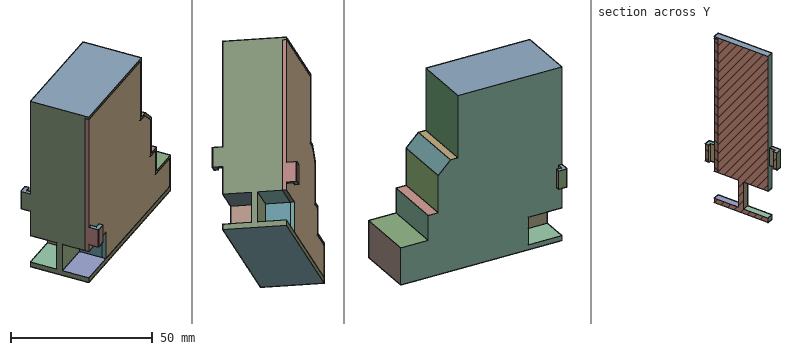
import cadquery as cq

overall_width = 30.6
body_width = 23.0
depth = 65.4
height = 70.1
half_width = body_width / 2

upper_depth = 42.2
shoulder_depth = 50.2
shoulder_height = 45.0
shoulder_chamfer = 5.0
middle_depth = 54.25
middle_height = 25.0
foot_height = 15.0

floor_thickness = 2.0
pocket_top = 13.2
pocket_depth = 13.7
web_thickness = 2.25

cover_thickness = 1.5
cover_margin = 1.0

clip_reach = (overall_width - body_width) / 2
clip_height = 7.35
clip_depth = 3.6
clip_plate = 1.5
clip_hook = 1.6
clip_chamfer = 0.3
right_clip_bottom = 16.1
left_clip_bottom = right_clip_bottom + clip_height


def stepped_plate(x_start, thickness, bottom, margin):
    """Extrude the stepped side profile, with its top and back edges moved in by margin."""
    chamfer = shoulder_chamfer - (2 - 2 ** 0.5) * margin
    shoulder_back = shoulder_depth - margin
    shoulder_top = shoulder_height - margin
    profile = [
        (0, bottom),
        (depth - margin, bottom),
        (depth - margin, foot_height - margin),
        (middle_depth - margin, foot_height - margin),
        (middle_depth - margin, middle_height - margin),
        (shoulder_back, middle_height - margin),
        (shoulder_back, shoulder_top - chamfer),
        (shoulder_back - chamfer, shoulder_top),
        (upper_depth - margin, shoulder_top),
        (upper_depth - margin, height - margin),
        (0, height - margin),
    ]
    plate = cq.Workplane("YZ").polyline(profile).close().extrude(thickness)
    return plate.translate((x_start, 0, 0))


def front_pocket(side):
    """Pocket volume between the web and one side; side is -1 or +1."""
    pocket_width = (body_width - web_thickness) / 2
    center_x = side * (web_thickness + pocket_width) / 2
    pocket = cq.Workplane("XY").box(
        pocket_width, pocket_depth, pocket_top - floor_thickness, centered=(True, False, False)
    )
    return pocket.translate((center_x, 0, floor_thickness))


def side_clip(side, bottom):
    """L-shaped clip with a chamfered outer front edge; side is -1 or +1."""
    root = side * half_width
    tip = root + side * clip_reach
    outline = [
        (root, 0),
        (tip - side * clip_chamfer, 0),
        (tip, clip_chamfer),
        (tip, clip_depth),
        (tip - side * clip_hook, clip_depth),
        (tip - side * clip_hook, clip_plate),
        (root, clip_plate),
    ]
    clip = cq.Workplane("XY").polyline(outline).close().extrude(clip_height)
    return clip.translate((0, 0, bottom))


def cover_blank():
    """Full side cover before the front pocket is cut through it."""
    return stepped_plate(half_width - cover_thickness, cover_thickness, floor_thickness, cover_margin)


def make_housing():
    """Stepped housing with a recess for the cover, two front pockets and the left clip."""
    housing = stepped_plate(-half_width, body_width, 0, 0).cut(cover_blank())
    for side in (-1, 1):
        housing = housing.cut(front_pocket(side))
    return housing.union(side_clip(-1, left_clip_bottom))


def make_cover():
    """Side cover with the pocket opening and the right clip."""
    return cover_blank().cut(front_pocket(1)).union(side_clip(1, right_clip_bottom))


housing = make_housing()
cover = make_cover()

result = cq.Compound.makeCompound([housing.val(), cover.val()])